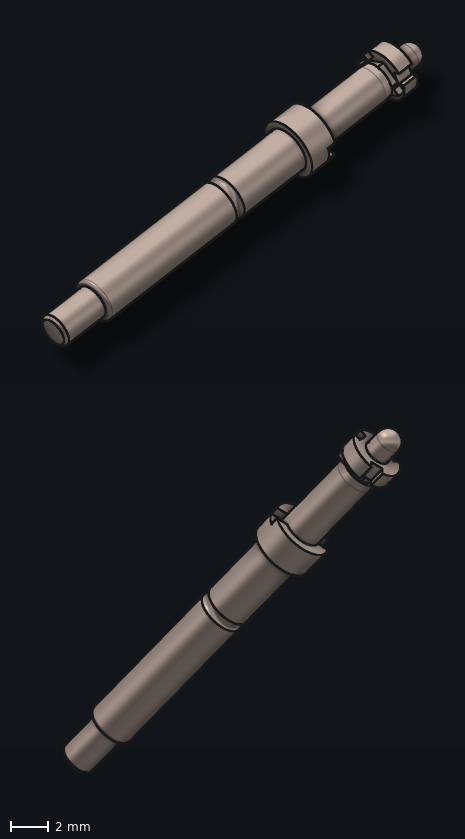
import cadquery as cq
import math

total_length = 28.0
head_start = 1.7
head_end = 2.72
wedge_end = 3.15
barrel_taper_end = 3.67
collar_start = 8.2
collar_end = 10.0
groove_center = 15.0
body_end = 25.0

tip_radius = 0.75
neck_radius = 1.1
barrel_radius = 1.15
collar_radius = 3.6 / 2
body_radius = 1.35
tail_radius = 1.0

groove_width = 0.6
groove_depth = 0.17
body_rounding = 0.2
tail_chamfer = 0.2

head_radius = 1.6
wedge_height = 2 * neck_radius
wedge_width = 2 * head_radius
head_slot_width = 0.75
head_slot_floor = 1.12
head_slot_angles = (30, 150, 270)

collar_notch_width = 0.92
collar_notch_length = 0.5


def y_at(station):
    """Y coordinate of a station measured from the tip."""
    return total_length / 2 - station


def section_at(station):
    """XZ sketch plane at a station; extruding it runs toward the tail."""
    return cq.Workplane("XZ", origin=(0, y_at(station), 0))


def turned_body():
    """All round portions: a half profile revolved about the Y axis."""
    dome_offset = tip_radius * math.sqrt(0.5)
    rounding_offset = body_rounding * (1 - math.sqrt(0.5))
    profile = (
        cq.Workplane("XY")
        .moveTo(0, y_at(0))
        .threePointArc((dome_offset, y_at(tip_radius - dome_offset)), (tip_radius, y_at(tip_radius)))
        .lineTo(tip_radius, y_at(wedge_end))
        .lineTo(neck_radius, y_at(wedge_end))
        .lineTo(barrel_radius, y_at(barrel_taper_end))
        .lineTo(barrel_radius, y_at(collar_start))
        .lineTo(collar_radius, y_at(collar_start))
        .lineTo(collar_radius, y_at(collar_end))
        .lineTo(body_radius, y_at(collar_end))
        .lineTo(body_radius, y_at(groove_center - groove_width / 2))
        .threePointArc(
            (body_radius - groove_depth, y_at(groove_center)),
            (body_radius, y_at(groove_center + groove_width / 2)),
        )
        .lineTo(body_radius, y_at(body_end - body_rounding))
        .threePointArc(
            (body_radius - rounding_offset, y_at(body_end - rounding_offset)),
            (body_radius - body_rounding, y_at(body_end)),
        )
        .lineTo(tail_radius, y_at(body_end))
        .lineTo(tail_radius, y_at(total_length - tail_chamfer))
        .lineTo(tail_radius - tail_chamfer, y_at(total_length))
        .lineTo(0, y_at(total_length))
        .close()
    )
    return profile.revolve(360, (0, 0, 0), (0, 1, 0))


def slotted_head():
    """Disc and diamond-shaped wedge, cut by three flat-bottomed radial slots."""
    length = wedge_end - head_start
    head = section_at(head_start).circle(head_radius).extrude(head_end - head_start)
    wedge_outline = [
        (-wedge_width / 2, 0),
        (0, wedge_height / 2),
        (wedge_width / 2, 0),
        (0, -wedge_height / 2),
    ]
    wedge = section_at(head_end).polyline(wedge_outline).close().extrude(wedge_end - head_end)
    head = head.union(wedge)
    slot = (
        section_at(head_start)
        .center(head_slot_floor + head_radius / 2, 0)
        .rect(head_radius, head_slot_width)
        .extrude(length)
    )
    for angle in head_slot_angles:
        head = head.cut(slot.rotate((0, 0, 0), (0, -1, 0), angle))
    return head


def collar_notches():
    """Two notches through the collar rim, bottoming on the barrel surface."""
    return (
        section_at(collar_start)
        .rect(2 * collar_radius, collar_notch_width)
        .extrude(collar_notch_length)
        .cut(section_at(collar_start).circle(barrel_radius).extrude(collar_notch_length))
    )


result = turned_body().union(slotted_head()).cut(collar_notches())